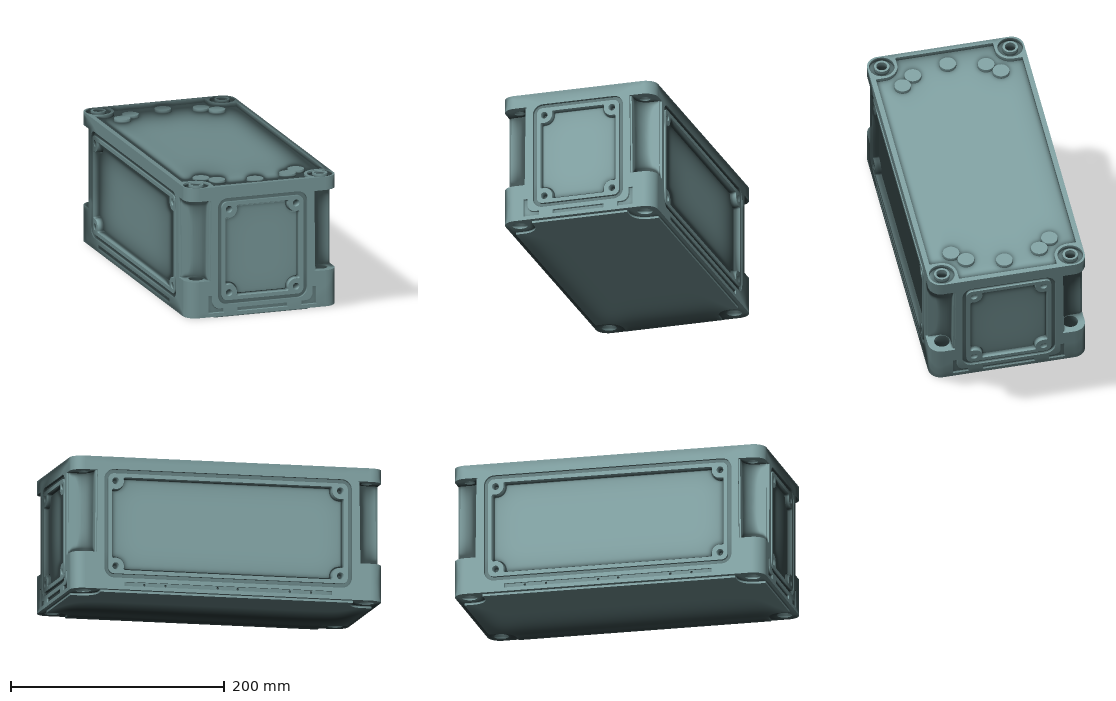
import cadquery as cq
import math

LENGTH = 300.0
WIDTH = 150.0
HEIGHT = 129.0
CORNER_RADIUS = 12.0

PAD_HEIGHT = 2.0
COLLAR_RISE = 1.0
RIM_Z = HEIGHT - COLLAR_RISE

SCREW_INSET = 13.5
SCREW_X = LENGTH / 2 - SCREW_INSET
SCREW_Y = WIDTH / 2 - SCREW_INSET
LID_HOLE_RADIUS = 5.0
BODY_HOLE_RADIUS = 7.2
COLLAR_RADIUS = 7.2
RING_RADIUS = 12.0

RIM_WIDTH = 4.8
CORNER_BOSS_RADIUS = 14.7
RECESS_DEPTH = 4.0

FOOT_BASE_RADIUS = 8.0
FOOT_TOP_RADIUS = 7.8
FOOT_HEIGHT = 3.0
FOOT_CENTRES = [(110.0, 47.0), (121.0, 35.0), (129.0, 0)]

NICHE_BOTTOM_Z = 37.2
NICHE_TOP_Z = 115.2
NICHE_SIZE = 22.0
NICHE_ROUND = NICHE_SIZE - CORNER_RADIUS
NICHE_FLARE = 1.0
NICHE_LIP_SIZE = 23.5
NICHE_LIP_DEPTH = 2.0

PANEL_Z = 64.8
LONG_PANEL_HALF_LENGTH = 119.5
SHORT_PANEL_HALF_LENGTH = 44.5
PANEL_HALF_HEIGHT = 51.5
PANEL_RADIUS = 9.5
GROOVE_WIDTH = 4.0
GROOVE_DEPTH = 3.0
POCKET_MARGIN = 7.5
LONG_POCKET_DEPTH = 5.5
SHORT_POCKET_DEPTH = 3.5
MOAT_DEPTH = 1.5
MOAT_OFFSET = 1.0
FIELD_OFFSET = 1.95
POCKET_CORNER_RADIUS = 1.5
PANEL_SCREW_MARGIN = 11.0
PANEL_BOSS_RADIUS = 7.8
PANEL_SCREW_RADIUS = 3.3
PANEL_SCREW_TIP_RADIUS = 1.5
PANEL_SCREW_DEPTH = 6.0

SLOT_Z = 7.5
SLOT_HEIGHT = 4.0
SLOT_DEPTH = 1.8
MARK_DRAFT = 15
LONG_SLOT_LENGTH = 200.5
SHORT_SLOT_LENGTH = 49.8
PIN_HOLE_X = [9.5, 60.0, 80.5]
PIN_HOLE_RADIUS = 1.2
PIN_HOLE_DEPTH = 3.0

ANGLE_OUTER_X = 53.7
ANGLE_BOTTOM_Z = 5.7
ANGLE_LENGTH = 15.3
ANGLE_HEIGHT = 17.0
ANGLE_WIDTH = 4.2
ANGLE_ROUND = 6.5

SIGNS = (1, -1)
QUADRANTS = [(sx, sy) for sx in SIGNS for sy in SIGNS]
SCREWS = [(sx * SCREW_X, sy * SCREW_Y) for sx, sy in QUADRANTS]


def draft_angle(offset, height):
    """Draft in degrees that shifts a side by the offset over the height."""
    return math.degrees(math.atan(offset / height))


def discs(centres, radius, bottom, top):
    """Vertical cylinders between two levels."""
    plane = cq.Workplane("XY").workplane(offset=bottom)
    return plane.pushPoints(centres).circle(radius).extrude(top - bottom)


def notched_plate(bottom, top):
    """Rectangular plate with each corner cut away around its screw."""
    plate = (
        cq.Workplane("XY")
        .workplane(offset=bottom)
        .rect(LENGTH - 2 * RIM_WIDTH, WIDTH - 2 * RIM_WIDTH)
        .extrude(top - bottom)
    )
    reach = SCREW_INSET + CORNER_BOSS_RADIUS
    for sx, sy in QUADRANTS:
        corner = (
            cq.Workplane("XY", origin=(sx * (LENGTH - reach) / 2, sy * (WIDTH - reach) / 2, bottom))
            .rect(reach, reach)
            .extrude(top - bottom)
            .edges("|Z")
            .edges(cq.NearestToPointSelector((sx * (LENGTH / 2 - reach), sy * (WIDTH / 2 - reach), bottom)))
            .fillet(CORNER_BOSS_RADIUS)
        )
        plate = plate.cut(corner)
    return plate


def block():
    """Rounded body with its bottom pad, lid recess, collars, feet and screw holes."""
    body = (
        cq.Workplane("XY", origin=(0, 0, PAD_HEIGHT))
        .rect(LENGTH, WIDTH)
        .extrude(RIM_Z - PAD_HEIGHT)
        .edges("|Z")
        .fillet(CORNER_RADIUS)
    )
    floor_z = RIM_Z - RECESS_DEPTH
    foot_draft = draft_angle(FOOT_BASE_RADIUS - FOOT_TOP_RADIUS, FOOT_HEIGHT)
    feet = {(sx * x, sy * y) for x, y in FOOT_CENTRES for sx, sy in QUADRANTS}
    body = body.union(notched_plate(0, PAD_HEIGHT))
    body = body.cut(notched_plate(floor_z, RIM_Z))
    body = body.cut(discs(SCREWS, RING_RADIUS, floor_z, RIM_Z))
    body = body.union(discs(SCREWS, COLLAR_RADIUS, floor_z, HEIGHT))
    for foot in sorted(feet):
        body = body.union(
            cq.Workplane("XY", origin=(*foot, floor_z))
            .circle(FOOT_BASE_RADIUS)
            .extrude(FOOT_HEIGHT, taper=foot_draft)
        )
    body = body.cut(discs(SCREWS, LID_HOLE_RADIUS, NICHE_TOP_Z, HEIGHT))
    return body.cut(discs(SCREWS, BODY_HOLE_RADIUS, 0, NICHE_BOTTOM_Z))


def niche():
    """Cutter for the niche at the +X +Y corner: rounded core and flared edge lip."""
    height = NICHE_TOP_Z - NICHE_BOTTOM_Z
    corner_x, corner_y = LENGTH / 2, WIDTH / 2
    core_outline = cq.Sketch().rect(2 * NICHE_SIZE, 2 * NICHE_SIZE).vertices().fillet(NICHE_ROUND)
    core = (
        cq.Workplane("XY", origin=(corner_x, corner_y, NICHE_BOTTOM_Z))
        .placeSketch(core_outline)
        .extrude(height, taper=-draft_angle(NICHE_FLARE, height))
    )
    foot = NICHE_LIP_SIZE
    top = foot + NICHE_FLARE
    lip_outline = [(0, 0), (-foot, 0), (-top, height), (0, height)]
    lip_along_x = (
        cq.Workplane("XZ", origin=(corner_x, corner_y, NICHE_BOTTOM_Z))
        .polyline(lip_outline)
        .close()
        .extrude(NICHE_LIP_DEPTH)
    )
    lip_along_y = (
        cq.Workplane("YZ", origin=(corner_x, corner_y, NICHE_BOTTOM_Z))
        .polyline(lip_outline)
        .close()
        .extrude(-NICHE_LIP_DEPTH)
    )
    return core.union(lip_along_x).union(lip_along_y)




def wall_plane(x=0.0, z=0.0, depth=0.0):
    """Sketch plane on the wall or at a depth behind it."""
    return cq.Workplane("XZ", origin=(x, depth, z))


def rounded_plate(half_length, inset):
    """Rounded panel outline moved in by the inset, as deep as the groove."""
    return (
        wall_plane(z=PANEL_Z)
        .rect(2 * (half_length - inset), 2 * (PANEL_HALF_HEIGHT - inset))
        .extrude(-GROOVE_DEPTH)
        .edges("|Y")
        .fillet(PANEL_RADIUS - inset)
    )


def pocket_outline(half_length, half_height, screws, inward, depth):
    """Pocket outline notched around the screws, offset inward and set at a depth."""
    outline = (
        cq.Sketch()
        .rect(2 * (half_length - inward), 2 * (half_height - inward))
        .push(screws)
        .circle(PANEL_BOSS_RADIUS + inward, mode="s")
        .clean()
        .reset()
        .vertices()
        .fillet(POCKET_CORNER_RADIUS)
    )
    return outline.moved(cq.Location(cq.Vector(0, 0, -depth)))


def panel(half_length, pocket_depth):
    """Cutter for one wall panel."""
    groove = rounded_plate(half_length, 0).cut(rounded_plate(half_length, GROOVE_WIDTH))
    screw_x = half_length - PANEL_SCREW_MARGIN
    screw_z = PANEL_HALF_HEIGHT - PANEL_SCREW_MARGIN
    screws = [(sx * screw_x, sz * screw_z) for sx, sz in QUADRANTS]
    pocket_size = (half_length - POCKET_MARGIN, PANEL_HALF_HEIGHT - POCKET_MARGIN)
    mouth = pocket_outline(*pocket_size, screws, 0, 0)
    moat = pocket_outline(*pocket_size, screws, MOAT_OFFSET, pocket_depth + MOAT_DEPTH)
    field_edge = pocket_outline(*pocket_size, screws, FIELD_OFFSET, pocket_depth)
    field = wall_plane(z=PANEL_Z).placeSketch(moat, field_edge).loft()
    pocket = wall_plane(z=PANEL_Z).placeSketch(mouth, moat).loft().cut(field)
    screw_draft = draft_angle(PANEL_SCREW_RADIUS - PANEL_SCREW_TIP_RADIUS, PANEL_SCREW_DEPTH)
    holes = (
        wall_plane(z=PANEL_Z)
        .pushPoints(screws)
        .circle(PANEL_SCREW_RADIUS)
        .extrude(-PANEL_SCREW_DEPTH, taper=screw_draft)
    )
    return groove.union(pocket).union(holes)


def slot(length, draft=0):
    """Shallow horizontal slot centred on the wall."""
    return wall_plane(z=SLOT_Z).rect(length, SLOT_HEIGHT).extrude(-SLOT_DEPTH, taper=draft)


def pin_holes():
    """Small holes in the floor of the long slot."""
    centres = [(side * x, 0) for x in PIN_HOLE_X for side in SIGNS]
    plane = wall_plane(z=SLOT_Z, depth=SLOT_DEPTH)
    return plane.pushPoints(centres).circle(PIN_HOLE_RADIUS).extrude(-PIN_HOLE_DEPTH)


def angle_groove():
    """L-shaped groove with a rounded inner corner, on the -X end of the wall."""
    return (
        wall_plane(x=-ANGLE_OUTER_X, z=ANGLE_BOTTOM_Z)
        .polyline([(0, ANGLE_HEIGHT), (0, 0), (ANGLE_LENGTH, 0), (ANGLE_LENGTH, ANGLE_WIDTH)])
        .lineTo(ANGLE_WIDTH + ANGLE_ROUND, ANGLE_WIDTH)
        .radiusArc((ANGLE_WIDTH, ANGLE_WIDTH + ANGLE_ROUND), ANGLE_ROUND)
        .lineTo(ANGLE_WIDTH, ANGLE_HEIGHT)
        .close()
        .extrude(-SLOT_DEPTH, taper=MARK_DRAFT)
    )


def on_wall(cutter, distance, turn):
    """Move a wall cutter out to a wall and turn it about the vertical axis."""
    return cutter.translate((0, -distance, 0)).rotate((0, 0, 0), (0, 0, 1), turn)


long_wall = [
    panel(LONG_PANEL_HALF_LENGTH, LONG_POCKET_DEPTH),
    slot(LONG_SLOT_LENGTH),
    pin_holes(),
]
short_wall = [
    panel(SHORT_PANEL_HALF_LENGTH, SHORT_POCKET_DEPTH),
    slot(SHORT_SLOT_LENGTH, MARK_DRAFT),
    angle_groove(),
    angle_groove().mirror("YZ"),
]

result = block()

corner_niche = niche()
for cutter in (
    corner_niche,
    corner_niche.mirror("YZ"),
    corner_niche.mirror("XZ"),
    corner_niche.mirror("YZ").mirror("XZ"),
):
    result = result.cut(cutter)

for turn in (0, 180):
    for cutter in long_wall:
        result = result.cut(on_wall(cutter, WIDTH / 2, turn))
    for cutter in short_wall:
        result = result.cut(on_wall(cutter, LENGTH / 2, turn - 90))